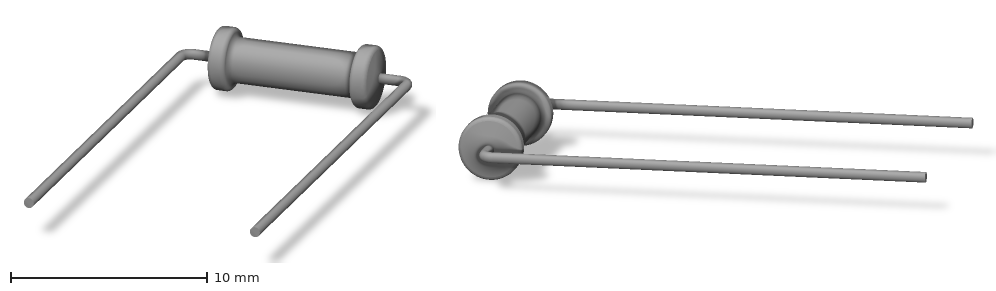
import cadquery as cq
import math

overall_width = 12.8
overall_depth = 24.65
flange_radius = 1.65
barrel_radius = 1.18
body_half_length = 4.5
flange_inner_x = 3.38
end_cone_angle = 10.0
edge_radius = 0.22
lead_diameter = 0.55
bend_radius = 0.55

lead_radius = lead_diameter / 2
lead_x = overall_width / 2 - lead_radius
lead_tip_y = flange_radius - overall_depth
cone_drop = (flange_radius - lead_radius) * math.tan(math.radians(end_cone_angle))
flange_outer_x = body_half_length - cone_drop


def make_body():
    """Round barrel with a rounded, cone-ended flange at each end."""
    right_half = [
        (flange_inner_x, barrel_radius),
        (flange_inner_x, flange_radius),
        (flange_outer_x, flange_radius),
        (body_half_length, lead_radius),
        (body_half_length, 0),
    ]
    left_half = [(-x, radius) for x, radius in reversed(right_half)]
    body = (
        cq.Workplane("XY")
        .polyline(left_half + right_half)
        .close()
        .revolve(360, (0, 0, 0), (1, 0, 0))
    )
    smallest_rounded = (lead_radius + barrel_radius) / 2
    rounded_edges = [
        edge for edge in body.edges("%CIRCLE").vals() if edge.radius() > smallest_rounded
    ]
    return body.newObject(rounded_edges).fillet(edge_radius)


def make_lead(side):
    """Bent wire lead on the +X (side = 1) or -X (side = -1) end of the body."""
    bend_start_x = lead_x - bend_radius
    bend_mid_x = bend_start_x + bend_radius * math.sin(math.pi / 4)
    bend_mid_y = -bend_radius * (1 - math.cos(math.pi / 4))
    path = (
        cq.Workplane("XY")
        .moveTo(side * body_half_length, 0)
        .lineTo(side * bend_start_x, 0)
        .threePointArc((side * bend_mid_x, bend_mid_y), (side * lead_x, -bend_radius))
        .lineTo(side * lead_x, lead_tip_y)
    )
    return (
        cq.Workplane("YZ", origin=(side * body_half_length, 0, 0))
        .circle(lead_radius)
        .sweep(path)
    )


body = make_body()
leads = [make_lead(side) for side in (-1, 1)]

result = cq.Compound.makeCompound([body.solids().val(), *[lead.val() for lead in leads]])